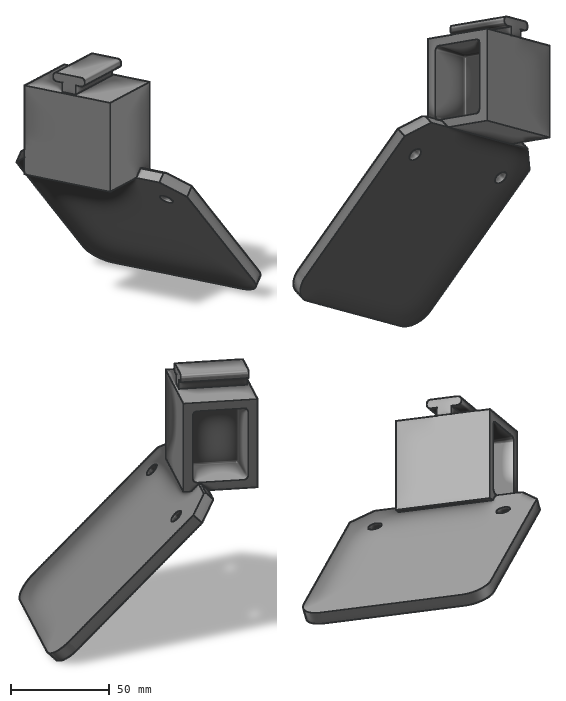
import cadquery as cq
import math

box_width = 51.0
box_depth = 38.1
box_height = 47.5

pocket_side_wall = 4.8
pocket_end_wall = 4.5
pocket_depth = 22.2
pocket_taper = 3.0
pocket_corner_radius = 2.3
pocket_floor_fillet = 1.4

rail_length = 35.0
rail_height = 9.7
rail_stem_width = 8.0
rail_head_width = 18.8
rail_head_thickness = 4.7
rail_head_radius = 2.1

plate_width = 101.5
plate_length = 114.5
plate_thickness = 6.4
plate_slope = 45.0
plate_inset = 13.0
plate_peak_height = 3.9
plate_corner_radius = 12.7
plate_chamfer_across = 11.6
plate_chamfer_along = 11.2
hole_diameter = 7.0
hole_side_distance = 16.0
hole_end_distance = 19.6


def make_box():
    body = cq.Workplane("XY").box(box_width, box_depth, box_height, centered=(True, True, False))
    return body.cut(make_pocket())


def make_pocket():
    mouth_width = box_depth - 2 * pocket_side_wall
    mouth_height = box_height - 2 * pocket_end_wall
    mouth = cq.Sketch().rect(mouth_width, mouth_height).vertices().fillet(pocket_corner_radius)
    return (
        cq.Workplane("YZ", origin=(-box_width / 2, 0, box_height / 2))
        .placeSketch(mouth)
        .extrude(pocket_depth, taper=pocket_taper)
        .faces(">X")
        .edges()
        .fillet(pocket_floor_fillet)
    )


def make_rail():
    on_base = {"centered": (True, True, False)}
    stem = cq.Workplane("XY").box(rail_stem_width, rail_length, rail_height, **on_base)
    head = (
        cq.Workplane("XY", origin=(0, 0, rail_height - rail_head_thickness))
        .box(rail_head_width, rail_length, rail_head_thickness, **on_base)
        .edges("|Y")
        .fillet(rail_head_radius)
    )
    return stem.union(head).translate((0, 0, box_height))


def make_plate():
    slope = math.radians(plate_slope)
    lower_face = cq.Workplane(
        cq.Plane(
            origin=(0, box_depth / 2 - plate_inset, 0),
            xDir=(1, 0, 0),
            normal=(0, math.sin(slope), math.cos(slope)),
        )
    )
    half_width = plate_width / 2
    chamfer_start = half_width - plate_chamfer_across
    corner_start = half_width - plate_corner_radius
    corner_level = plate_length - plate_corner_radius
    outline = (
        lower_face.moveTo(-chamfer_start, 0)
        .lineTo(chamfer_start, 0)
        .lineTo(half_width, plate_chamfer_along)
        .lineTo(half_width, corner_level)
        .radiusArc((corner_start, plate_length), -plate_corner_radius)
        .lineTo(-corner_start, plate_length)
        .radiusArc((-half_width, corner_level), -plate_corner_radius)
        .lineTo(-half_width, plate_chamfer_along)
        .close()
    )
    plate = outline.extrude(plate_thickness)

    hole_x = half_width - hole_side_distance
    holes = (
        lower_face.pushPoints([(-hole_x, hole_end_distance), (hole_x, hole_end_distance)])
        .circle(hole_diameter / 2)
        .extrude(plate_thickness)
    )
    above_peak = cq.Workplane("XY", origin=(0, 0, plate_peak_height)).box(
        plate_width, box_depth, plate_thickness, centered=(True, True, False)
    )
    return plate.cut(holes).cut(above_peak)


result = make_box().union(make_rail()).union(make_plate())